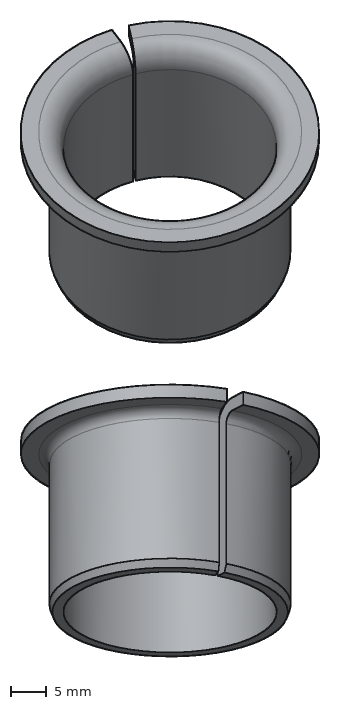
import cadquery as cq
import math

bore_diameter = 30.0
wall = 2.0
flange_diameter = 42.0
length = 26.0
flange_thickness = wall
outer_bend_radius = 1.5
inner_bend_radius = outer_bend_radius + wall
chamfer_height = 1.2
chamfer_angle = 20.0
chamfer_depth = chamfer_height * math.tan(math.radians(chamfer_angle))

split_half_angle = 10.0
split_inner_half_width = 0.2

bore_radius = bore_diameter / 2
outer_radius = bore_radius + wall
flange_radius = flange_diameter / 2
flange_underside = length - flange_thickness


def make_bushing():
    """Revolve the bent wall section around Z."""
    diagonal = math.sqrt(0.5)
    bend_center_x = bore_radius + inner_bend_radius
    bend_center_z = length - inner_bend_radius
    inner_offset = inner_bend_radius * diagonal
    outer_offset = outer_bend_radius * diagonal
    section = (
        cq.Workplane("XZ")
        .moveTo(bore_radius, 0)
        .lineTo(outer_radius - chamfer_depth, 0)
        .lineTo(outer_radius, chamfer_height)
        .lineTo(outer_radius, bend_center_z)
        .threePointArc(
            (bend_center_x - outer_offset, bend_center_z + outer_offset),
            (bend_center_x, flange_underside),
        )
        .lineTo(flange_radius, flange_underside)
        .lineTo(flange_radius, length)
        .lineTo(bend_center_x, length)
        .threePointArc(
            (bend_center_x - inner_offset, bend_center_z + inner_offset),
            (bore_radius, bend_center_z),
        )
        .close()
    )
    bushing = section.revolve(360, (0, 0, 0), (0, 1, 0))
    return bushing.rotate((0, 0, 0), (0, 0, 1), 180)


def make_split():
    """Wedge that opens the wall on the -X side, narrowest at the bore."""
    slope = math.tan(math.radians(split_half_angle))
    apex_radius = bore_radius - split_inner_half_width / slope
    reach = flange_radius + wall
    reach_half_width = (reach - apex_radius) * slope
    return (
        cq.Workplane("XY")
        .moveTo(-apex_radius, 0)
        .lineTo(-reach, reach_half_width)
        .lineTo(-reach, -reach_half_width)
        .close()
        .extrude(length)
    )


result = make_bushing().cut(make_split())